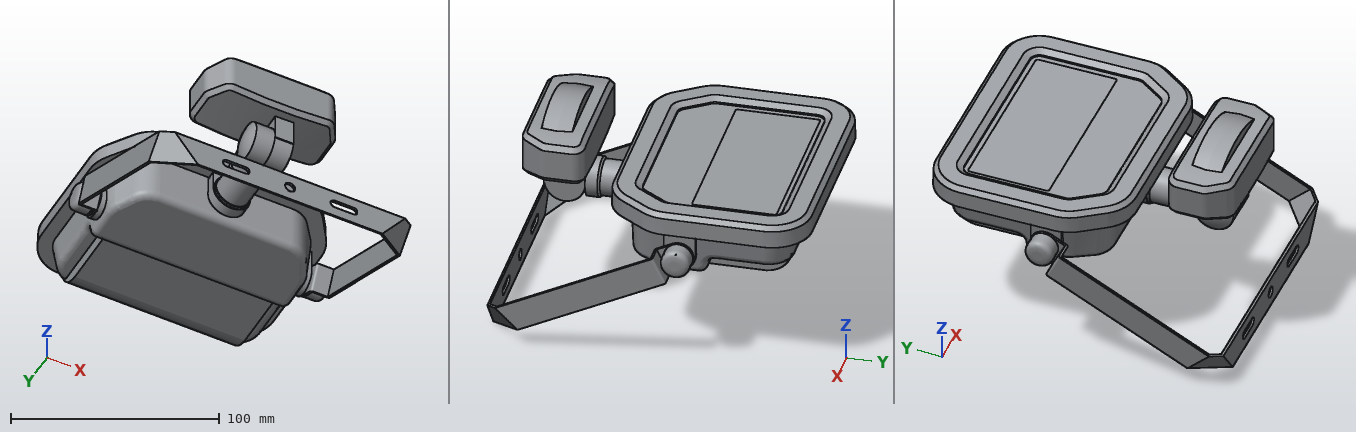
import cadquery as cq
import math


corner_half_width = 43.0
back_corner_y = 42.4
side_corner_y = -6.6
front_corner_half_width = 35.0
front_corner_y = -18.3
bezel_bottom_z = 13.9
bezel_height = 11.0
bezel_top_z = bezel_bottom_z + bezel_height
bezel_base_radius = 19.77
bezel_draft = 2.0
bezel_chamfer = 2.3
recess_top_radius = 8.4
recess_bevel_width = 3.4
recess_bevel_depth = 2.0
recess_depth = 2.9
window_half_width = 45.2
window_back_y = 44.9
window_front_y = 3.2
window_corner_radius = 1.2
window_depth = 0.1

housing_bottom_z = -11.1
bowl_corner_radius = 13.0
bowl_top_centres = dict(side=42.6, back_y=42.0, side_y=-6.1, front=35.7, front_y=-15.3)
bowl_bottom_centres = dict(side=40.2, back_y=38.7, side_y=-5.7, front=35.7, front_y=-14.4)
bowl_edge_fillet = 3.6
shallow_floor_z = -2.3
step_y = 12.6
step_inner_fillet = 4.3
step_outer_fillet = 4.4
block_half_width = 46.0
block_bottom_z = -9.3
block_flat_end_y = 40.4
block_end_y = 52.6
block_end_z = 0.6
block_arc_mid = (47.0, -6.9)
pad_face_x = 56.8
pad_root_x = 45.0
pad_radius = 7.8
pad_top_z = bezel_bottom_z - 0.9

knob_radius = 7.15
knob_length = 9.0
knob_side_length = 6.0
knob_tip_radius = 2.5
shank_diameter = 3.3
shank_end_x = 48.0

bracket_half_width = 68.0
bracket_front_y = -93.36
bracket_angle = 26.43
bracket_sheet = 1.3
bracket_ear_radius = 7.25
bracket_jog_start = 8.3
bracket_bend_radius = 1.2
ear_hole_diameter = 3.5
corner_fold_on_arm_y = -88.2
corner_fold_top_x = 62.3
corner_fold_bottom_x = 50.0
mount_hole_diameter = 5.5
mount_slot_width = 4.5
mount_slot_length = 14.5
mount_slot_x = 29.2

joint_radius = 10.0
joint_y = -67.9
joint_z = 3.0
tube_radius = 9.0
collar_radius = 9.5
boss_front_y = -33.3
collar_front_y = -34.6
flare_back_y = -50.8
flare_front_y = -51.9
sleeve_front_y = joint_y + joint_radius
dome_height = 2.5
post_flat_bottom_z = 1.4
post_front_y = joint_y - 10.3

head_side_centre = 29.7
head_back_y = -58.6
head_side_y = -71.4
head_front_centre = 25.0
head_front_y = -79.2
head_corner_radius = 5.6
head_top_z = 39.4
head_flat_half_width = 20.0
head_arc_half_width = 40.0
head_top_drop = 3.0
head_bottom_z = 15.6
head_bottom_rise = 3.2
head_chamfer = 2.3
lens_width = 15.2
lens_y = -68.9
lens_crest_z = 45.31
lens_crest_radius = 46.0
lens_roof_drop = 0.5


def rounded_outline(side, back_y, side_y, front, front_y, radius, z):
    """Closed outline that keeps `radius` away from six corner centres, mirrored about x = 0."""
    half = [(side, back_y), (side, side_y), (front, front_y)]
    mirrored = [(-x, y) for x, y in reversed(half)]
    return cq.Workplane("XY", origin=(0, 0, z)).polyline(half + mirrored).close().offset2D(radius)


def bezel_outline(radius, z):
    return rounded_outline(corner_half_width, back_corner_y, side_corner_y,
                           front_corner_half_width, front_corner_y, radius, z)


def loft(lower, upper):
    """Ruled solid between two closed outlines."""
    return cq.Workplane(cq.Solid.makeLoft([lower.val(), upper.val()], True))


def make_bezel():
    body = bezel_outline(bezel_base_radius, bezel_bottom_z).extrude(bezel_height, taper=bezel_draft)
    body = body.faces(">Z").chamfer(bezel_chamfer)
    floor_radius = recess_top_radius - recess_bevel_width
    bevel_bottom_z = bezel_top_z - recess_bevel_depth
    bevel = loft(bezel_outline(floor_radius, bevel_bottom_z), bezel_outline(recess_top_radius, bezel_top_z))
    floor_z = bezel_top_z - recess_depth
    well = bezel_outline(floor_radius, floor_z).extrude(recess_depth - recess_bevel_depth)
    window = (
        cq.Workplane("XY", origin=(0, (window_back_y + window_front_y) / 2, floor_z))
        .rect(2 * window_half_width, window_back_y - window_front_y)
        .extrude(-window_depth)
        .edges("|Z").fillet(window_corner_radius)
    )
    return body.cut(bevel).cut(well).cut(window)


def make_bowl():
    lower = rounded_outline(**bowl_bottom_centres, radius=bowl_corner_radius, z=housing_bottom_z)
    upper = rounded_outline(**bowl_top_centres, radius=bowl_corner_radius, z=bezel_bottom_z)
    bowl = loft(lower, upper)
    reach = 100.0
    depth = housing_bottom_z - 1.0
    stepped_floor = (
        cq.Workplane("YZ", origin=(-reach, 0, 0))
        .moveTo(step_y - step_outer_fillet, depth)
        .lineTo(step_y - step_outer_fillet, housing_bottom_z)
        .radiusArc((step_y, housing_bottom_z + step_outer_fillet), -step_outer_fillet)
        .lineTo(step_y, shallow_floor_z - step_inner_fillet)
        .radiusArc((step_y + step_inner_fillet, shallow_floor_z), step_inner_fillet)
        .lineTo(reach, shallow_floor_z)
        .lineTo(reach, depth)
        .close()
        .extrude(2 * reach)
    )
    bowl = bowl.cut(stepped_floor)
    return bowl.faces("<Z").edges().fillet(bowl_edge_fillet)


def make_rear_block():
    return (
        cq.Workplane("YZ", origin=(-block_half_width, 0, 0))
        .moveTo(step_y - step_outer_fillet, bezel_bottom_z)
        .lineTo(step_y - step_outer_fillet, block_bottom_z)
        .lineTo(block_flat_end_y, block_bottom_z)
        .threePointArc(block_arc_mid, (block_end_y, block_end_z))
        .lineTo(block_end_y, bezel_bottom_z)
        .close()
        .extrude(2 * block_half_width)
    )


def make_pad(side):
    """Flat pad under the bracket ear: a round end below straight flanks."""
    return (
        cq.Workplane("YZ", origin=(side * pad_root_x, 0, 0))
        .moveTo(-pad_radius, pad_top_z)
        .lineTo(-pad_radius, 0)
        .threePointArc((0, -pad_radius), (pad_radius, 0))
        .lineTo(pad_radius, pad_top_z)
        .close()
        .extrude(side * (pad_face_x - pad_root_x))
    )


def make_tube_boss():
    """Round-bottomed boss that carries the sensor tube."""
    return (
        cq.Workplane("XZ", origin=(0, boss_front_y, 0))
        .moveTo(-joint_radius, pad_top_z)
        .lineTo(-joint_radius, joint_z)
        .threePointArc((0, joint_z - joint_radius), (joint_radius, joint_z))
        .lineTo(joint_radius, pad_top_z)
        .close()
        .extrude(boss_front_y - bowl_top_centres["front_y"])
    )


def x_cylinder(x_start, x_end, diameter):
    return cq.Workplane("YZ", origin=(x_start, 0, 0)).circle(diameter / 2).extrude(x_end - x_start)


def make_housing():
    body = make_bowl().union(make_rear_block()).union(make_tube_boss())
    for side in (-1, 1):
        body = body.union(make_pad(side))
        body = body.cut(x_cylinder(side * shank_end_x, side * bracket_half_width, shank_diameter))
    return body


def make_knob(side):
    """Domed knob with a shank that passes the bracket ear into the housing."""
    base_x = bracket_half_width - knob_length
    dome_x = base_x + knob_side_length
    knob = (
        cq.Workplane("XY")
        .moveTo(shank_end_x, 0)
        .lineTo(shank_end_x, shank_diameter / 2)
        .lineTo(base_x, shank_diameter / 2)
        .lineTo(base_x, knob_radius)
        .lineTo(dome_x, knob_radius)
        .spline([(bracket_half_width, knob_tip_radius)], tangents=[(1, 0), (0, -1)], includeCurrent=True)
        .lineTo(bracket_half_width, 0)
        .close()
        .revolve(360, (0, 0, 0), (1, 0, 0))
    )
    return knob if side > 0 else knob.mirror("YZ")


def make_bracket_shape(inset):
    """Block bounded by the bracket's arms, front plate and slanted corner plates, moved in by `inset`."""
    slope = math.tan(math.radians(bracket_angle))
    half_height = bracket_ear_radius / math.cos(math.radians(bracket_angle))
    plate_z = bracket_front_y * slope
    span = 300.0
    front = bracket_front_y + inset
    width = 2 * (bracket_half_width - inset)
    block = cq.Workplane("XY").box(width, span, span).translate((0, front + span / 2, 0))
    arm_point_z = corner_fold_on_arm_y * slope + half_height
    arm_point = cq.Vector(bracket_half_width, corner_fold_on_arm_y, arm_point_z)
    top_point = cq.Vector(corner_fold_top_x, bracket_front_y, plate_z + half_height)
    bottom_point = cq.Vector(corner_fold_bottom_x, bracket_front_y, plate_z - half_height)
    outward = (bottom_point - top_point).cross(arm_point - top_point).normalized()
    if outward.x < 0:
        outward = outward * -1
    corner_plane = cq.Plane(top_point - outward * inset, bottom_point - top_point, outward)
    corner = cq.Workplane(corner_plane).rect(span, span).extrude(span)
    return block.cut(corner).cut(corner.mirror("YZ"))


def make_bracket():
    ear_outer_x = bracket_half_width - knob_length
    ear_inner_x = ear_outer_x - bracket_sheet
    jog_end = bracket_jog_start + bracket_sheet
    width = 2 * bracket_ear_radius

    arm_length = 200.0
    slab = (
        cq.Workplane("XY")
        .box(2 * bracket_half_width, arm_length, width)
        .translate((0, -jog_end - arm_length / 2, 0))
        .rotate((0, 0, 0), (1, 0, 0), bracket_angle)
    )
    bracket = make_bracket_shape(0).cut(make_bracket_shape(bracket_sheet)).intersect(slab)

    jog_depth = bracket_half_width - ear_inner_x
    jog = (
        cq.Workplane("XY")
        .box(jog_depth, bracket_sheet, width)
        .translate((ear_inner_x + jog_depth / 2, -bracket_jog_start - bracket_sheet / 2, 0))
        .edges("|Z and ((>X and >Y) or (<X and <Y))").fillet(bracket_bend_radius)
    )
    ear_strip = (
        cq.Workplane("XY")
        .box(bracket_sheet, bracket_jog_start, width)
        .translate((ear_inner_x + bracket_sheet / 2, -bracket_jog_start / 2, 0))
    )
    ear = (
        x_cylinder(ear_inner_x, ear_outer_x, width)
        .union(ear_strip)
        .union(jog)
        .cut(x_cylinder(ear_inner_x, ear_outer_x, ear_hole_diameter))
        .rotate((0, 0, 0), (1, 0, 0), bracket_angle)
    )
    bracket = bracket.union(ear).union(ear.mirror("YZ"))

    plate_z = bracket_front_y * math.tan(math.radians(bracket_angle))
    front_plate = cq.Workplane("XZ", origin=(0, bracket_front_y, plate_z))
    drill = -2 * bracket_sheet
    hole = front_plate.circle(mount_hole_diameter / 2).extrude(drill)
    slots = (
        front_plate.pushPoints([(-mount_slot_x, 0), (mount_slot_x, 0)])
        .slot2D(mount_slot_length, mount_slot_width)
        .extrude(drill)
    )
    return bracket.cut(hole).cut(slots)


def joint_disc(x_start, x_end):
    disc = cq.Workplane("YZ", origin=(x_start, joint_y, joint_z))
    return disc.circle(joint_radius).extrude(x_end - x_start)


def make_joint_arm():
    """Tube from the housing with its half of the swivel joint, domed on the outside."""
    tube = (
        cq.Workplane("XY", origin=(0, 0, joint_z))
        .moveTo(0, boss_front_y)
        .lineTo(collar_radius, boss_front_y)
        .lineTo(collar_radius, collar_front_y)
        .lineTo(tube_radius, collar_front_y)
        .lineTo(tube_radius, flare_back_y)
        .lineTo(joint_radius, flare_front_y)
        .lineTo(joint_radius, joint_y)
        .lineTo(0, joint_y)
        .close()
        .revolve(360, (0, 0, 0), (0, 1, 0))
    )
    clearance = (
        cq.Workplane("XY")
        .box(2 * joint_radius, joint_radius, 4 * joint_radius)
        .translate((joint_radius, sleeve_front_y - joint_radius / 2, joint_z))
    )
    dome = (
        cq.Workplane("XY", origin=(-joint_radius, joint_y, joint_z))
        .moveTo(0, 0)
        .lineTo(0, joint_radius)
        .radiusArc((-dome_height, 0), -(joint_radius**2 + dome_height**2) / (2 * dome_height))
        .close()
        .revolve(360, (0, 0, 0), (1, 0, 0))
    )
    return tube.cut(clearance).union(joint_disc(-joint_radius, 0)).union(dome)


def make_joint_post(head):
    """Other half of the swivel joint, with a post that ends on the underside of the sensor head."""
    post_top_z = head_bottom_z + 1.0
    post_height = post_top_z - post_flat_bottom_z
    post = (
        cq.Workplane("XY")
        .box(joint_radius, sleeve_front_y - post_front_y, post_height, centered=False)
        .translate((0, post_front_y, post_flat_bottom_z))
    )
    return joint_disc(0, joint_radius).union(post).cut(head)


def make_head():
    prism = rounded_outline(head_side_centre, head_back_y, head_side_y, head_front_centre, head_front_y,
                            head_corner_radius, head_bottom_z).extrude(head_top_z - head_bottom_z)
    crown_run = head_arc_half_width - head_flat_half_width
    crown_radius = (crown_run**2 + head_top_drop**2) / (2 * head_top_drop)
    crown_edge_z = head_top_z - head_top_drop
    belly_edge_z = head_bottom_z + head_bottom_rise
    crown_and_belly = (
        cq.Workplane("XZ")
        .moveTo(-head_flat_half_width, head_top_z)
        .lineTo(head_flat_half_width, head_top_z)
        .radiusArc((head_arc_half_width, crown_edge_z), crown_radius)
        .lineTo(head_arc_half_width, belly_edge_z)
        .threePointArc((0, head_bottom_z), (-head_arc_half_width, belly_edge_z))
        .lineTo(-head_arc_half_width, crown_edge_z)
        .radiusArc((-head_flat_half_width, head_top_z), crown_radius)
        .close()
        .extrude(-2 * head_front_y, both=True)
    )
    head = prism.intersect(crown_and_belly)
    return head.faces(">Y").edges("<Z or >Z").chamfer(head_chamfer)


def make_lens():
    """Slice of a wide drum whose rim rises to a crest along the middle of the slice."""
    rim_radius = lens_crest_radius - lens_roof_drop
    axis_z = lens_crest_z - lens_crest_radius
    drum = (
        cq.Workplane("YZ", origin=(0, lens_y, axis_z))
        .moveTo(-lens_width / 2, 0)
        .lineTo(-lens_width / 2, rim_radius)
        .lineTo(0, lens_crest_radius)
        .lineTo(lens_width / 2, rim_radius)
        .lineTo(lens_width / 2, 0)
        .close()
        .revolve(360, (0, 0, 0), (1, 0, 0))
    )
    above_head = (
        cq.Workplane("XY")
        .box(2 * lens_crest_radius, 2 * lens_width, lens_crest_radius, centered=(True, True, False))
        .translate((0, lens_y, head_top_z))
    )
    return drum.intersect(above_head)


housing = make_housing()
bezel = make_bezel()
bracket = make_bracket()
knobs = [make_knob(side) for side in (-1, 1)]
head = make_head()
joint_arm = make_joint_arm()
joint_post = make_joint_post(head)
lens = make_lens()

result = cq.Compound.makeCompound([
    housing.val(),
    bezel.val(),
    bracket.val(),
    *[knob.val() for knob in knobs],
    joint_arm.val(),
    joint_post.val(),
    head.val(),
    lens.val(),
])